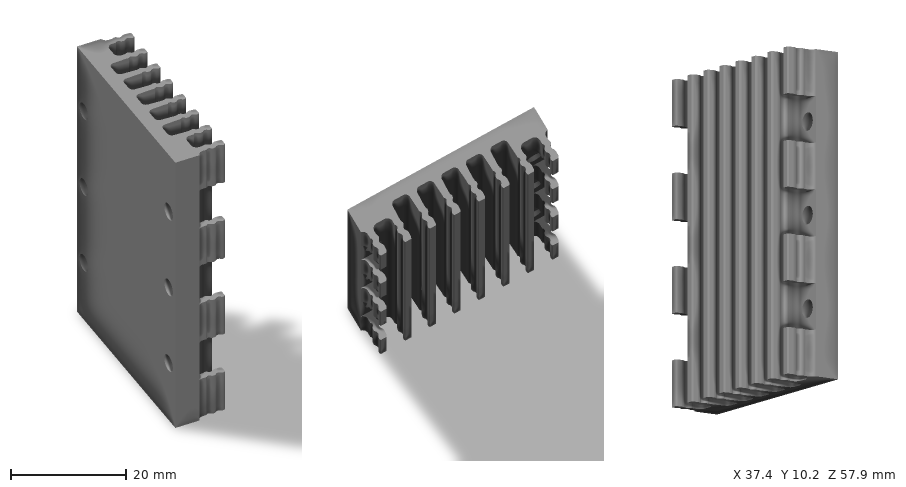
import cadquery as cq
import math

WIDTH = 37.35
DEPTH = 10.15
HEIGHT = 57.9

NECK = 0.65
CREST = 0.8
VALLEY = 0.4
TIP = 0.6
CORNER = 0.75
RIPPLE = 0.7
DEEP_ROOT = 0.75

ROOT_Y = 5.75
RIPPLE_END_Y = 6.15
RIPPLE_Y = 6.55
LOWER_Y = 7.35
UPPER_Y = 8.35
LEFT_CREST_Y = 8.9
RIGHT_CREST_Y = 9.3
CORNER_Y = 9.8

DEEP_FLOOR = 2.55
DEEP_RADIUS = 0.85
SHALLOW_FLOOR = 4.7
SHALLOW_RADIUS = ROOT_Y - SHALLOW_FLOOR
ARC_MIDDLE = 1 - 0.5 ** 0.5

FIN_COUNT = 8
OUTER_FIN_X = 17.2
FIN_PITCH = 2 * OUTER_FIN_X / (FIN_COUNT - 1)

HOLE_DIAMETER = 3.25
HOLE_X = 16.1
GAP_HEIGHT = HEIGHT / 7
GAP_PITCH = 2 * GAP_HEIGHT
GAP_WIDTH = WIDTH / 2 - HOLE_X + HOLE_DIAMETER / 2
GAP_FLOOR = SHALLOW_FLOOR


def middle(a, b):
    return (a + b) / 2


def draw_left_flank(outline, x):
    """Climb the left flank of the fin centred on x and cross its tip."""
    return (
        outline.lineTo(x - NECK, RIPPLE_END_Y)
        .lineTo(x - RIPPLE, RIPPLE_Y)
        .threePointArc((x - CREST, middle(RIPPLE_Y, LOWER_Y)), (x - NECK, LOWER_Y))
        .threePointArc((x - VALLEY, middle(LOWER_Y, UPPER_Y)), (x - NECK, UPPER_Y))
        .threePointArc((x - CORNER, middle(UPPER_Y, LEFT_CREST_Y)), (x - CREST, LEFT_CREST_Y))
        .lineTo(x - CORNER, CORNER_Y)
        .lineTo(x - TIP, DEPTH)
        .lineTo(x + TIP, DEPTH)
    )


def draw_right_flank(outline, x):
    """Descend the right flank of the fin centred on x, from its tip to its root."""
    return (
        outline.threePointArc((x + CORNER, middle(RIGHT_CREST_Y, DEPTH)), (x + NECK, RIGHT_CREST_Y))
        .threePointArc((x + VALLEY, middle(RIGHT_CREST_Y, UPPER_Y)), (x + NECK, UPPER_Y))
        .threePointArc((x + CREST, middle(UPPER_Y, LOWER_Y)), (x + NECK, LOWER_Y))
        .threePointArc((x + VALLEY, middle(LOWER_Y, RIPPLE_Y)), (x + NECK, RIPPLE_Y))
        .lineTo(x + NECK, ROOT_Y)
    )


def draw_fillet_down(outline, wall, floor, radius):
    """Turn from a wall down onto a floor on its right."""
    inset = radius * ARC_MIDDLE
    return outline.threePointArc((wall + inset, floor + inset), (wall + radius, floor))


def draw_fillet_up(outline, wall, floor, radius):
    """Turn from a floor up into a wall on its right."""
    inset = radius * ARC_MIDDLE
    return outline.threePointArc((wall - inset, floor + inset), (wall, floor + radius))


def shoulder_height(distance):
    """Y of the outer root fillet at a distance from the wall of an outermost fin."""
    return ROOT_Y - math.sqrt(SHALLOW_RADIUS ** 2 - (SHALLOW_RADIUS - distance) ** 2)


def draw_shallow_groove(outline, left_fin, right_fin):
    left_wall = left_fin + NECK
    right_wall = right_fin - NECK
    outline = draw_fillet_down(outline, left_wall, SHALLOW_FLOOR, SHALLOW_RADIUS)
    outline = outline.lineTo(right_wall - SHALLOW_RADIUS, SHALLOW_FLOOR)
    return draw_fillet_up(outline, right_wall, SHALLOW_FLOOR, SHALLOW_RADIUS)


def draw_deep_groove(outline, left_fin, right_fin):
    left_wall = left_fin + DEEP_ROOT
    right_wall = right_fin - DEEP_ROOT
    outline = outline.lineTo(left_wall, DEEP_FLOOR + DEEP_RADIUS)
    outline = draw_fillet_down(outline, left_wall, DEEP_FLOOR, DEEP_RADIUS)
    outline = outline.lineTo(right_wall - DEEP_RADIUS, DEEP_FLOOR)
    outline = draw_fillet_up(outline, right_wall, DEEP_FLOOR, DEEP_RADIUS)
    return outline.lineTo(right_fin - NECK, ROOT_Y)


def make_profile():
    """Closed cross-section of the plate and its fins, walked from left to right."""
    edge = WIDTH / 2
    fins = [i * FIN_PITCH - OUTER_FIN_X for i in range(FIN_COUNT)]
    last_groove = FIN_COUNT - 2

    outer_wall = OUTER_FIN_X + NECK
    edge_y = shoulder_height(edge - outer_wall)
    fillet_x = middle(edge, outer_wall)
    fillet_y = shoulder_height(fillet_x - outer_wall)

    outline = cq.Workplane("XY").moveTo(-edge, 0).lineTo(-edge, edge_y)
    outline = outline.threePointArc((-fillet_x, fillet_y), (-outer_wall, ROOT_Y))
    for i, (fin, next_fin) in enumerate(zip(fins, fins[1:])):
        outline = draw_left_flank(outline, fin)
        outline = draw_right_flank(outline, fin)
        if i in (0, last_groove):
            outline = draw_shallow_groove(outline, fin, next_fin)
        else:
            outline = draw_deep_groove(outline, fin, next_fin)
    outline = draw_left_flank(outline, fins[-1])
    outline = draw_right_flank(outline, fins[-1])
    outline = outline.threePointArc((fillet_x, fillet_y), (edge, edge_y))
    return outline.lineTo(edge, 0).close()


def make_gap(side, z):
    """Block that interrupts the outermost fin on one side, down to the groove floor."""
    x = side * (WIDTH - GAP_WIDTH) / 2
    y = middle(GAP_FLOOR, DEPTH)
    return cq.Workplane("XY").box(GAP_WIDTH, DEPTH - GAP_FLOOR, GAP_HEIGHT).translate((x, y, z))


def make_hole(side, z):
    """Cylinder through the plate along Y."""
    return cq.Workplane("XZ").center(side * HOLE_X, z).circle(HOLE_DIAMETER / 2).extrude(-DEPTH)


result = make_profile().extrude(HEIGHT / 2, both=True)
for side in (-1, 1):
    for z in (-GAP_PITCH, 0, GAP_PITCH):
        result = result.cut(make_gap(side, z)).cut(make_hole(side, z))